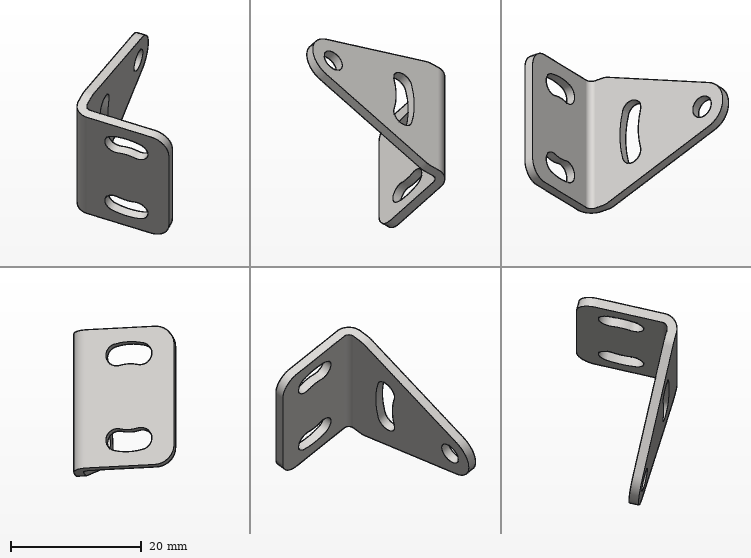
import cadquery as cq
import math

arm_length = 27.0
flange_width = 16.0
height = 22.0
thickness = 1.5
inner_bend_radius = 1.0
outer_bend_radius = inner_bend_radius + thickness

flange_corner_radius = 3.0
arm_tip_radius = 4.0
arm_taper_angle = 20.0
arm_shoulder_radius = 3.0

hole_diameter = 3.5
slot_half_angle = 15.0
arm_slot_radius = 14.0
flange_slot_radius = 7.0
flange_slot_center_x = 9.0

pivot_y = arm_length - arm_tip_radius
half_height = height / 2


def bent_sheet():
    """L-shaped sheet with concentric bend radii, full height."""
    return (
        cq.Workplane("XY", origin=(0, 0, -half_height))
        .polyline([
            (0, 0),
            (flange_width, 0),
            (flange_width, thickness),
            (thickness, thickness),
            (thickness, arm_length),
            (0, arm_length),
        ])
        .close()
        .extrude(height)
        .edges(cq.selectors.NearestToPointSelector((0, 0, 0)))
        .fillet(outer_bend_radius)
        .edges(cq.selectors.NearestToPointSelector((thickness, thickness, 0)))
        .fillet(inner_bend_radius)
    )


def arm_envelope():
    """Tapered, round-tipped arm outline in YZ, extended over the whole flange."""
    taper = math.radians(arm_taper_angle)
    tangent_y = pivot_y + arm_tip_radius * math.sin(taper)
    tangent_z = arm_tip_radius * math.cos(taper)
    shoulder_y = tangent_y - (half_height - tangent_z) / math.tan(taper)
    envelope = (
        cq.Workplane("YZ")
        .moveTo(0, -half_height)
        .lineTo(shoulder_y, -half_height)
        .lineTo(tangent_y, -tangent_z)
        .threePointArc((arm_length, 0), (tangent_y, tangent_z))
        .lineTo(shoulder_y, half_height)
        .lineTo(0, half_height)
        .close()
        .extrude(flange_width)
    )
    for shoulder_z in (-half_height, half_height):
        shoulder = cq.selectors.NearestToPointSelector((flange_width / 2, shoulder_y, shoulder_z))
        envelope = envelope.edges(shoulder).fillet(arm_shoulder_radius)
    return envelope


def curved_slot(plane, center, radius, direction, depth):
    """Arc slot with round ends; direction is its mid angle about center."""
    def point(distance, angle):
        turn = math.radians(angle)
        return (
            center[0] + distance * math.cos(turn),
            center[1] + distance * math.sin(turn),
        )

    inner = radius - hole_diameter / 2
    outer = radius + hole_diameter / 2
    start = direction - slot_half_angle
    end = direction + slot_half_angle
    band = (
        cq.Workplane(plane)
        .moveTo(*point(inner, start))
        .lineTo(*point(outer, start))
        .threePointArc(point(outer, direction), point(outer, end))
        .lineTo(*point(inner, end))
        .threePointArc(point(inner, direction), point(inner, start))
        .close()
        .extrude(depth)
    )
    round_ends = (
        cq.Workplane(plane)
        .pushPoints([point(radius, start), point(radius, end)])
        .circle(hole_diameter / 2)
        .extrude(depth)
    )
    return band.union(round_ends)


result = bent_sheet().intersect(arm_envelope())

result = result.edges("|Y and >X").fillet(flange_corner_radius)

pivot_hole = (
    cq.Workplane("YZ")
    .center(pivot_y, 0)
    .circle(hole_diameter / 2)
    .extrude(thickness)
)
result = result.cut(pivot_hole)
result = result.cut(curved_slot("YZ", (pivot_y, 0), arm_slot_radius, 180, thickness))

for slot_direction in (90, -90):
    result = result.cut(
        curved_slot("XZ", (flange_slot_center_x, 0), flange_slot_radius, slot_direction, -thickness)
    )